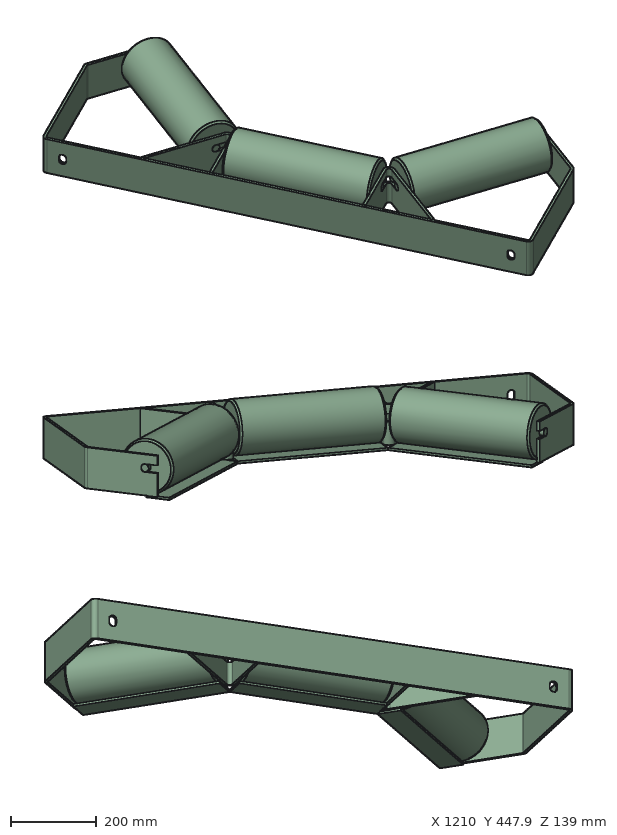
import cadquery as cq
import math


frame_length = 1210.0
bar_height = 99.0
bar_thickness = 7.0
frame_bend_radius = 12.0
bracket_bend_radius = 15.0
arm_overhang = 31.0
hole_spacing = 1108.0
hole_width = 18.0
hole_height = 27.0

roller_diameter = 133.0
roller_length = 363.0
roller_chamfer = 5.0
shaft_diameter = 19.0
bay_length = 371.0

strip_width = 59.0
strip_thickness = 6.0

trough_angle = 45.0
level_axis_y = 126.0
inclined_center_x = -359.0
inclined_center_y = 275.0

axis_z = roller_diameter / 2
shaft_length = bay_length + 2 * bar_thickness
bar_offset = (bay_length + bar_thickness) / 2
cos_trough = math.cos(math.radians(trough_angle))
sin_trough = math.sin(math.radians(trough_angle))


def to_left_bay(along, across):
    """Plan point of the left bay, from distances along and across its roller axis."""
    return (
        inclined_center_x + along * cos_trough + across * sin_trough,
        inclined_center_y - along * sin_trough + across * cos_trough,
    )


def across_at_x(along, x):
    """Distance across the left roller axis at which a line square to it reaches x."""
    return (x - inclined_center_x - along * cos_trough) / sin_trough


def across_at_y(along, y):
    """Distance across the left roller axis at which a line square to it reaches y."""
    return (y - inclined_center_y + along * sin_trough) / cos_trough


def place_in_left_bay(body):
    """Turn a body built along X at the origin into the left inclined bay."""
    turned = body.rotate((0, 0, 0), (0, 0, 1), -trough_angle)
    return turned.translate((inclined_center_x, inclined_center_y, 0))


def mirrored(body):
    """Copy on the right-hand side of the plane X = 0."""
    return body.mirror("YZ")


def in_every_bay(body):
    """Copies of a body in the left, level and right bays."""
    left = place_in_left_bay(body)
    level = body.translate((0, level_axis_y, 0))
    return [left, level, mirrored(left)]


def bent_bar(corners, outer_radius):
    """Flat bar standing on Z = 0 that follows a plan centerline with rounded bends."""
    points = [cq.Vector(*corner) for corner in corners]
    bend_radius = outer_radius - bar_thickness / 2
    path = cq.Workplane("XY").moveTo(*corners[0])
    for before, corner, after in zip(points, points[1:], points[2:]):
        arriving = (corner - before).normalized()
        leaving = (after - corner).normalized()
        setback = bend_radius * math.tan(arriving.getAngle(leaving) / 2)
        bend_start = corner - arriving * setback
        bend_end = corner + leaving * setback
        path = path.lineTo(bend_start.x, bend_start.y)
        path = path.tangentArcPoint((bend_end.x, bend_end.y), relative=False)
    path = path.lineTo(*corners[-1])

    start_direction = points[1] - points[0]
    section_plane = cq.Plane(origin=points[0], xDir=(0, 0, 1), normal=start_direction)
    section = cq.Workplane(section_plane).center(bar_height / 2, 0).rect(bar_height, bar_thickness)
    return section.sweep(path)


def shaft_slot(axis_end, open_end):
    """Cutter along X for a slot with a round bottom on the Y = 0 shaft axis, open towards +Y."""
    width = axis_end - open_end
    middle = (axis_end + open_end) / 2
    reach = roller_diameter / 2
    channel = cq.Workplane("XY").box(width, reach, shaft_diameter).translate((middle, reach / 2, axis_z))
    bottom = cq.Workplane("YZ", origin=(open_end, 0, axis_z)).circle(shaft_diameter / 2).extrude(width)
    return channel.union(bottom)


left_end_slot = shaft_slot(-bay_length / 2, -shaft_length / 2)
right_end_slot = shaft_slot(shaft_length / 2, bay_length / 2)


def make_frame():
    side_x = -(frame_length - bar_thickness) / 2
    arm_end = to_left_bay(-bar_offset, arm_overhang)
    arm_corner = to_left_bay(-bar_offset, across_at_x(-bar_offset, side_x))
    bar_corner = (side_x, bar_thickness / 2)
    left_half = [arm_end, arm_corner, bar_corner]
    right_half = [(-x, y) for x, y in reversed(left_half)]
    frame = bent_bar(left_half + right_half, frame_bend_radius)

    mounting_holes = (
        cq.Workplane("XZ", origin=(0, 0, bar_height / 2))
        .pushPoints([(-hole_spacing / 2, 0), (hole_spacing / 2, 0)])
        .slot2D(hole_height, hole_width, 90)
        .extrude(-bar_thickness)
    )
    arm_slot = place_in_left_bay(left_end_slot)
    return frame.cut(mounting_holes).cut(arm_slot).cut(mirrored(arm_slot))


def make_left_bracket():
    foot = to_left_bay(bar_offset, across_at_y(bar_offset, 0))
    tip = to_left_bay(bar_offset, across_at_x(bar_offset, -bar_offset))
    bracket = bent_bar([foot, tip, (-bar_offset, 0)], bracket_bend_radius)

    frame_side = cq.Workplane("XY").box(frame_length, 2 * bar_thickness, 2 * bar_height)
    bracket = bracket.cut(frame_side)

    level_slot = left_end_slot.translate((0, level_axis_y, 0))
    inclined_slot = place_in_left_bay(right_end_slot)

    notch_start_x, notch_start_y = to_left_bay(shaft_length / 2, 0)
    notch_width = -bay_length / 2 - notch_start_x
    bend_notch = (
        cq.Workplane("XY")
        .box(notch_width, roller_diameter / 2, shaft_diameter, centered=(False, False, True))
        .translate((notch_start_x, notch_start_y, axis_z))
    )
    return bracket.cut(inclined_slot).cut(level_slot).cut(bend_notch)


def make_roller():
    """Roller and its shaft ends, along X at the origin."""
    shell = (
        cq.Workplane("YZ", origin=(-roller_length / 2, 0, axis_z))
        .circle(roller_diameter / 2)
        .extrude(roller_length)
        .edges()
        .chamfer(roller_chamfer)
    )
    shaft = (
        cq.Workplane("YZ", origin=(-shaft_length / 2, 0, axis_z))
        .circle(shaft_diameter / 2)
        .extrude(shaft_length)
    )
    return shell.union(shaft)


def make_strip():
    """Flat strip below one half of a roller, along X at the origin."""
    return (
        cq.Workplane("XY", origin=(0, 0, -strip_thickness))
        .box(bay_length, strip_width, strip_thickness, centered=(True, False, False))
    )


frame = make_frame()

left_bracket = make_left_bracket()
brackets = [left_bracket, mirrored(left_bracket)]
rollers = in_every_bay(make_roller())
strips = in_every_bay(make_strip())

bodies = [frame, *brackets, *rollers, *strips]
result = cq.Compound.makeCompound([body.solids().val() for body in bodies])